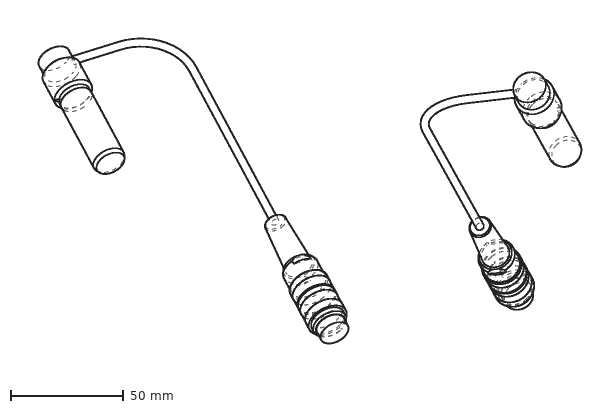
import cadquery as cq
import math

overall_length = 196.2
overall_width = 73.2
plug_nut_diameter = 18.2
sleeve_diameter = 18.5
plug_axis_y = 0.0
tail_axis_y = plug_axis_y + overall_width - (plug_nut_diameter + sleeve_diameter) / 2

plug_length = 66.5
plug_diameter = 15.1
plug_nut_start = 7.3
plug_nut_full_start = 8.6
plug_nut_full_end = 22.8
plug_nut_end = 24.0
plug_neck_end = 26.0
plug_neck_diameter = 15.0
plug_tip_chamfer_length = 2.0
plug_tip_diameter = 13.5
key_hole_diameter = 1.5
key_hole_x = 23.7
key_hole_floor = 6.7

cable_diameter = 3.7
cable_exit_x = 4.3
cable_bend_radius = 25.0

boot_start = 126.0
boot_start_diameter = 10.2
boot_end_diameter = 13.0
boot_edge_chamfer = 0.5

back_nut_start = 154.0
back_nut_full_start = 156.0
back_nut_start_diameter = 15.1
back_nut_diameter = 16.9
flat_end = 157.7
flat_spacing = 15.0

sleeve_start = 165.0
sleeve_chamfer = 0.5
sleeve_end = 188.2
band_diameter = 18.2
rear_band_start = 169.1
groove_start = 174.5
groove_end = 175.2
groove_diameter = 18.0
front_band_start = 178.1
front_band_end = 183.8

collar_diameter = 16.0
collar_end = 191.5
collar_chamfer = 1.0
nose_diameter = 13.5


def turned(stations, axis_y):
    """Solid of revolution about an X-parallel axis from (x, diameter) stations."""
    outline = [(stations[0][0], 0)]
    outline += [(x, diameter / 2) for x, diameter in stations]
    outline += [(stations[-1][0], 0)]
    solid = cq.Workplane("XY").polyline(outline).close().revolve(360, (0, 0), (1, 0))
    return solid.translate((0, axis_y, 0))


def make_plug():
    body = turned(
        [
            (0, plug_diameter),
            (plug_nut_start, plug_diameter),
            (plug_nut_full_start, plug_nut_diameter),
            (plug_nut_full_end, plug_nut_diameter),
            (plug_nut_end, plug_neck_diameter),
            (plug_neck_end, plug_neck_diameter),
            (plug_neck_end, plug_diameter),
            (plug_length - plug_tip_chamfer_length, plug_diameter),
            (plug_length, plug_tip_diameter),
        ],
        plug_axis_y,
    )
    key_hole = (
        cq.Workplane("XZ", origin=(key_hole_x, plug_axis_y - key_hole_floor, 0))
        .circle(key_hole_diameter / 2)
        .extrude(plug_nut_diameter / 2)
    )
    return body.cut(key_hole)


def make_cable():
    """Round cable from the plug axis, through a quarter bend, into the boot."""
    bend_start = (cable_exit_x, tail_axis_y - cable_bend_radius)
    bend_end = (cable_exit_x + cable_bend_radius, tail_axis_y)
    bend_inset = cable_bend_radius * (1 - math.sqrt(0.5))
    bend_middle = (cable_exit_x + bend_inset, tail_axis_y - bend_inset)
    path = (
        cq.Workplane("XY")
        .moveTo(cable_exit_x, plug_axis_y)
        .lineTo(*bend_start)
        .threePointArc(bend_middle, bend_end)
        .lineTo(back_nut_start, tail_axis_y)
    )
    section = cq.Workplane("XZ", origin=(cable_exit_x, plug_axis_y, 0)).circle(cable_diameter / 2)
    return section.sweep(path)


def make_boot():
    return turned(
        [
            (boot_start, boot_start_diameter - 2 * boot_edge_chamfer),
            (boot_start + boot_edge_chamfer, boot_start_diameter),
            (back_nut_start, boot_end_diameter),
        ],
        tail_axis_y,
    )


def make_back_nut():
    nut = turned(
        [
            (back_nut_start, back_nut_start_diameter),
            (back_nut_full_start, back_nut_diameter),
            (sleeve_start, back_nut_diameter),
        ],
        tail_axis_y,
    )
    flat_length = flat_end - back_nut_start
    for side in (1, -1):
        waste = cq.Workplane("XY").box(flat_length, back_nut_diameter, back_nut_diameter)
        waste_z = side * (flat_spacing + back_nut_diameter) / 2
        nut = nut.cut(waste.translate((back_nut_start + flat_length / 2, tail_axis_y, waste_z)))
    return nut


def make_sleeve_and_nose():
    return turned(
        [
            (sleeve_start, sleeve_diameter - 2 * sleeve_chamfer),
            (sleeve_start + sleeve_chamfer, sleeve_diameter),
            (rear_band_start, sleeve_diameter),
            (rear_band_start, band_diameter),
            (groove_start, band_diameter),
            (groove_start, groove_diameter),
            (groove_end, groove_diameter),
            (groove_end, sleeve_diameter),
            (front_band_start, sleeve_diameter),
            (front_band_start, band_diameter),
            (front_band_end, band_diameter),
            (front_band_end, sleeve_diameter),
            (sleeve_end, sleeve_diameter),
            (sleeve_end, collar_diameter),
            (collar_end - collar_chamfer, collar_diameter),
            (collar_end, collar_diameter - 2 * collar_chamfer),
            (collar_end, nose_diameter),
            (overall_length, nose_diameter),
        ],
        tail_axis_y,
    )


result = (
    make_plug()
    .union(make_cable())
    .union(make_boot())
    .union(make_back_nut())
    .union(make_sleeve_and_nose())
)